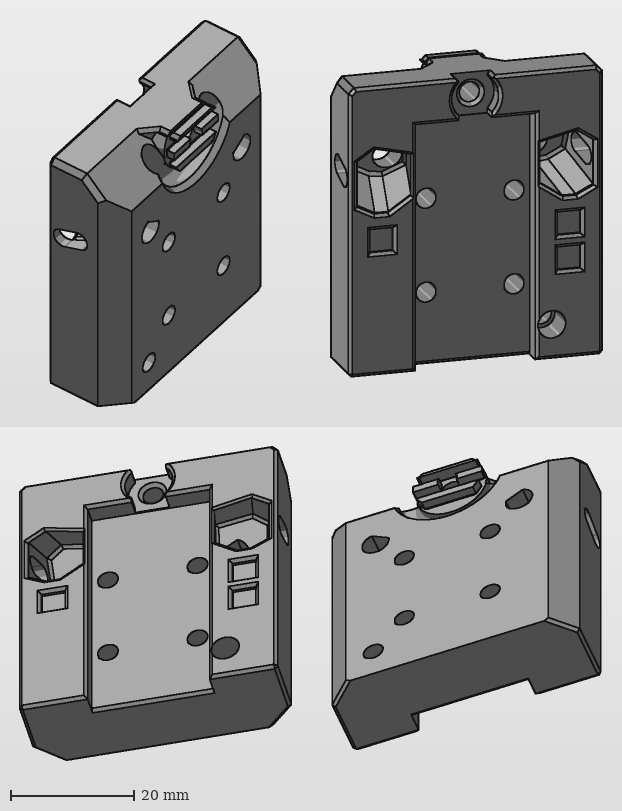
import cadquery as cq
import math

THICKNESS = 13.95
WIDTH = 43.2
HEIGHT = 49.25
HALF_WIDTH = WIDTH / 2
RIM_CHAMFER = 0.55
SIDE_TOP_CHAMFER = 1.0
BACK_SLOPE = 6.8
BACK_CORNER_CHAMFER = 3.95

SCREW_DIAMETER = 3.4
BORE_DIAMETER = 4.7

RAIL_HALF_WIDTH = 10.2
RAIL_TOP = 42.0
RAIL_DEPTH = 3.35
CARRIAGE_HOLE_Y = 7.5
CARRIAGE_HOLES_Z = (12.3, 28.3)

SCREW_Z = 45.7
HEAD_POCKET_RADIUS = 4.0
HEAD_POCKET_DEPTH = 3.05
HEAD_SLOT_WIDTH = 5.7

BOSS_RADIUS = 6.0
BOSS_END_X = 11.9
BOSS_TOP_CHAMFER = 0.65
BOSS_TOP_HALF_WIDTH = 4.3
WEDGE_START_X = 4.92
WEDGE_HALF_WIDTH = 10.2
CHANNEL_X = 11.2
CHANNEL_TUBE_RADIUS = 1.95
CHANNEL_RADIUS = BOSS_RADIUS + CHANNEL_TUBE_RADIUS
MOUTH_X = 12.75
MOUTH_RADIUS = 9.1
MOUTH_OUTER_RADIUS = 9.75

SUPPORT_CENTRE_Z = 45.85
SUPPORT_WIDTH = 1.5
SUPPORT_PITCH = 3.45
SUPPORT_TIP_CHAMFER = 0.6

POCKET_MOUTH = (
    (11.05, 37.0), (17.3, 38.4), (20.15, 36.55), (20.15, 28.9), (17.2, 27.45), (14.85, 27.45), (11.05, 30.0),
)
POCKET_LEAN = cq.Vector(21.3, -4.2, 7.6)
POCKET_DEPTH = 10.65
SIDE_SLOT_ENDS = ((2.75, 33.5), (6.15, 34.55))
SIDE_SLOT_INNER_Y = 17.75
OPENING_Y = 12.5
OPENING_Z = 34.55
OPENING_START_X = 6.9
OPENING_FLAT_TILT = 32.0
OPENING_FLAT_OFFSET = 1.6

SQUARE_SIDE = 3.95
SQUARE_DEPTH = 1.0
SQUARE_CENTRES = ((15.95, 22.85), (-15.95, 22.85), (-15.95, 16.9))
LOWER_SCREW_Y = -12.9
LOWER_SCREW_Z = 5.9
LOWER_BORE_DEPTH = 5.9


def yz_plane(x):
    """Sketch plane at depth x, with sketch axes Y and Z and +X as its normal."""
    return cq.Workplane("YZ", origin=(x, 0, 0))


def x_cylinder(diameter, y, z, start, end):
    return yz_plane(start).center(y, z).circle(diameter / 2).extrude(end - start)


def flared_recess(outline, depth):
    """Recess from the -X face for a (y, z) outline, with a chamfered mouth."""
    body = outline(yz_plane(0)).extrude(depth)
    flare = outline(yz_plane(0)).offset2D(RIM_CHAMFER, "intersection").extrude(RIM_CHAMFER, taper=45)
    return body.union(flare)


def plate():
    """Plate with its back slope and edge chamfers."""
    profile = [
        (0, 0),
        (THICKNESS, 0),
        (THICKNESS, HEIGHT - BACK_SLOPE),
        (THICKNESS - BACK_SLOPE, HEIGHT),
        (0, HEIGHT),
    ]
    body = cq.Workplane("XZ").polyline(profile).close().extrude(HALF_WIDTH, both=True)
    top_edges = cq.selectors.BoxSelector(
        (-0.5, -WIDTH, HEIGHT - BACK_SLOPE / 2 - 0.5), (THICKNESS, WIDTH, HEIGHT + 0.5)
    )
    body = body.faces("<Y or >Y").edges(top_edges).edges("not |Z").chamfer(SIDE_TOP_CHAMFER)
    for side in (-1, 1):
        corner = [
            (THICKNESS - BACK_CORNER_CHAMFER, side * HALF_WIDTH),
            (THICKNESS, side * HALF_WIDTH),
            (THICKNESS, side * (HALF_WIDTH - BACK_CORNER_CHAMFER)),
        ]
        body = body.cut(cq.Workplane("XY").polyline(corner).close().extrude(HEIGHT))
    return body.faces("<X or <Z").edges("not >X").chamfer(RIM_CHAMFER)


def above_boss():
    """Space over the boss: the level of the plate's top, with both its edges chamfered."""
    low_half_width = BOSS_TOP_HALF_WIDTH + BOSS_TOP_CHAMFER
    shoulder_z = HEIGHT - BOSS_TOP_CHAMFER
    outline = [
        (-WIDTH, shoulder_z),
        (-low_half_width, shoulder_z),
        (-BOSS_TOP_HALF_WIDTH, HEIGHT),
        (BOSS_TOP_HALF_WIDTH, HEIGHT),
        (low_half_width, shoulder_z),
        (WIDTH, shoulder_z),
        (WIDTH, 2 * HEIGHT),
        (-WIDTH, 2 * HEIGHT),
    ]
    return yz_plane(0).polyline(outline).close().extrude(THICKNESS)


def boss():
    """Round boss on the back slope, led in by a wedge and flattened at the plate's top."""
    wedge_outline = [
        (WEDGE_START_X, -WEDGE_HALF_WIDTH),
        (WEDGE_START_X + WEDGE_HALF_WIDTH, 0),
        (WEDGE_START_X, WEDGE_HALF_WIDTH),
    ]
    wedge_base = cq.Workplane("XY", origin=(0, 0, HEIGHT - BACK_SLOPE)).polyline(wedge_outline).close()
    wedge = wedge_base.extrude(BACK_SLOPE).faces(">Z").edges("not |Y").chamfer(BOSS_TOP_CHAMFER)
    post = x_cylinder(2 * BOSS_RADIUS, 0, SCREW_Z, WEDGE_START_X, THICKNESS).cut(above_boss())
    beyond = yz_plane(BOSS_END_X).rect(4 * WIDTH, 4 * HEIGHT).extrude(THICKNESS)
    return post.union(wedge).cut(beyond)


def ring_channel():
    """Round channel circling the boss, open to the back through a flared mouth."""
    tube = cq.Workplane("XY").add(
        cq.Solid.makeTorus(
            CHANNEL_RADIUS, CHANNEL_TUBE_RADIUS, cq.Vector(CHANNEL_X, 0, SCREW_Z), cq.Vector(1, 0, 0)
        )
    )
    chord = math.sqrt(CHANNEL_TUBE_RADIUS**2 - (MOUTH_X - CHANNEL_X) ** 2)
    inner = x_cylinder(2 * (CHANNEL_RADIUS - chord), 0, SCREW_Z, BOSS_END_X, THICKNESS)
    mouth = cq.Workplane("XY").add(
        cq.Solid.makeCone(
            MOUTH_RADIUS,
            MOUTH_OUTER_RADIUS,
            THICKNESS - MOUTH_X,
            cq.Vector(MOUTH_X, 0, SCREW_Z),
            cq.Vector(1, 0, 0),
        )
    )
    return tube.union(inner).union(mouth)


def rail_recess():
    height = RAIL_TOP + 2 * RIM_CHAMFER
    recess = flared_recess(
        lambda sketch: sketch.center(0, RAIL_TOP - height / 2).rect(2 * RAIL_HALF_WIDTH, height), RAIL_DEPTH
    )
    floor_bevel = [(RAIL_DEPTH, 0), (RAIL_DEPTH + RIM_CHAMFER, 0), (RAIL_DEPTH, RIM_CHAMFER)]
    bevel = cq.Workplane("XZ").polyline(floor_bevel).close().extrude(RAIL_HALF_WIDTH, both=True)
    return recess.union(bevel)


def carriage_holes():
    holes = cq.Workplane("XY")
    for z in CARRIAGE_HOLES_Z:
        for y in (-CARRIAGE_HOLE_Y, CARRIAGE_HOLE_Y):
            holes = holes.add(x_cylinder(SCREW_DIAMETER, y, z, 0, THICKNESS))
    return holes.combine()


def top_screw_pocket():
    """Head pocket, the slot across it and the countersunk screw hole."""
    pocket = x_cylinder(2 * HEAD_POCKET_RADIUS, 0, SCREW_Z, 0, HEAD_POCKET_DEPTH)
    rim = yz_plane(0).center(0, SCREW_Z).circle(HEAD_POCKET_RADIUS + RIM_CHAMFER)
    pocket = pocket.union(rim.extrude(RIM_CHAMFER, taper=45))
    slot_height = HEIGHT - RAIL_TOP
    slot = yz_plane(0).center(0, HEIGHT - slot_height / 2).rect(HEAD_SLOT_WIDTH, slot_height)
    slot = slot.extrude(HEAD_POCKET_DEPTH)
    mouth_outline = [
        (-HEAD_SLOT_WIDTH / 2 - RIM_CHAMFER, HEIGHT),
        (-HEAD_SLOT_WIDTH / 2, HEIGHT - RIM_CHAMFER),
        (HEAD_SLOT_WIDTH / 2, HEIGHT - RIM_CHAMFER),
        (HEAD_SLOT_WIDTH / 2 + RIM_CHAMFER, HEIGHT),
    ]
    slot_mouth = yz_plane(0).polyline(mouth_outline).close().extrude(HEAD_POCKET_DEPTH)
    hole = x_cylinder(SCREW_DIAMETER, 0, SCREW_Z, 0, THICKNESS)
    sink_depth = (BORE_DIAMETER - SCREW_DIAMETER) / 2
    sink = yz_plane(HEAD_POCKET_DEPTH).center(0, SCREW_Z).circle(BORE_DIAMETER / 2)
    sink = sink.extrude(sink_depth, taper=45)
    return pocket.union(slot).union(slot_mouth).union(hole).union(sink)


def lower_screw_hole():
    hole = x_cylinder(SCREW_DIAMETER, LOWER_SCREW_Y, LOWER_SCREW_Z, 0, THICKNESS)
    return hole.union(x_cylinder(BORE_DIAMETER, LOWER_SCREW_Y, LOWER_SCREW_Z, 0, LOWER_BORE_DEPTH))


def square_recess(y, z):
    return flared_recess(lambda sketch: sketch.center(y, z).rect(SQUARE_SIDE, SQUARE_SIDE), SQUARE_DEPTH)


def leaning_pocket(side):
    """Leaning pocket on one side (+1 or -1), with a floor square to its lean."""
    lean = cq.Vector(POCKET_LEAN.x, side * POCKET_LEAN.y, POCKET_LEAN.z).normalized()
    mouth = [(side * distance, z) for distance, z in POCKET_MOUTH]
    wire = yz_plane(0).polyline(mouth).close().val()
    shaft = cq.Workplane("XY").add(cq.Solid.extrudeLinear(wire, [], lean * THICKNESS))
    lowest = cq.Vector(0, *mouth[-2])
    floor_plane = cq.Plane(origin=(lowest + lean * POCKET_DEPTH).toTuple(), normal=lean.toTuple())
    beyond = cq.Workplane(floor_plane).rect(2 * HEIGHT, 2 * HEIGHT).extrude(HEIGHT)
    shaft = shaft.cut(beyond).faces(cq.selectors.DirectionMinMaxSelector(lean)).edges().chamfer(RIM_CHAMFER)
    flare = yz_plane(0).polyline(mouth).close().offset2D(RIM_CHAMFER, "intersection")
    return shaft.union(flare.extrude(RIM_CHAMFER, taper=45))


def side_slot(side):
    """Tilted round-ended slot from the side face into the leaning pocket."""
    (x1, z1), (x2, z2) = SIDE_SLOT_ENDS
    length = math.hypot(x2 - x1, z2 - z1) + SCREW_DIAMETER
    tilt = math.degrees(math.atan2(z2 - z1, x2 - x1))
    sketch = cq.Workplane("XZ", origin=(0, side * SIDE_SLOT_INNER_Y, 0))
    sketch = sketch.center((x1 + x2) / 2, (z1 + z2) / 2).slot2D(length, SCREW_DIAMETER, tilt)
    return sketch.extrude(-side * (HALF_WIDTH - SIDE_SLOT_INNER_Y))


def back_opening(side):
    """Round opening from the pocket floor to the back, with one flat facing up and inward."""
    opening = x_cylinder(BORE_DIAMETER, 0, 0, OPENING_START_X, THICKNESS)
    beyond_flat = (
        yz_plane(OPENING_START_X)
        .center(0, OPENING_FLAT_OFFSET + BORE_DIAMETER / 2)
        .rect(2 * BORE_DIAMETER, BORE_DIAMETER)
        .extrude(THICKNESS)
    )
    opening = opening.cut(beyond_flat).rotate((0, 0, 0), (1, 0, 0), side * OPENING_FLAT_TILT)
    return opening.translate((0, side * OPENING_Y, OPENING_Z))


def make_housing():
    body = plate().union(boss()).cut(ring_channel())
    body = body.cut(rail_recess()).cut(carriage_holes()).cut(top_screw_pocket()).cut(lower_screw_hole())
    for y, z in SQUARE_CENTRES:
        body = body.cut(square_recess(y, z))
    for side in (-1, 1):
        body = body.cut(leaning_pocket(side)).cut(side_slot(side)).cut(back_opening(side))
    return body


def support_row(row):
    """Bars along Y in one row, narrowed toward the boss end; the screw hole parts the middle row."""
    length = THICKNESS - BOSS_END_X
    centre_z = SUPPORT_CENTRE_Z + row * SUPPORT_PITCH
    bottom = centre_z - SUPPORT_WIDTH / 2
    top = min(centre_z + SUPPORT_WIDTH / 2, HEIGHT)
    bar = yz_plane(BOSS_END_X).center(0, (bottom + top) / 2).rect(WIDTH, top - bottom).extrude(length)
    bar = bar.faces("<X").edges(">Z").chamfer(SUPPORT_TIP_CHAMFER)
    if top < HEIGHT:
        bar = bar.faces("<X").edges("<Z").chamfer(SUPPORT_TIP_CHAMFER)
    ring = x_cylinder(2 * BOSS_RADIUS, 0, SCREW_Z, BOSS_END_X, THICKNESS)
    ring = ring.faces("<X").chamfer(SUPPORT_TIP_CHAMFER)
    hole = x_cylinder(SCREW_DIAMETER, 0, SCREW_Z, 0, THICKNESS)
    return bar.intersect(ring).cut(hole).cut(above_boss()).solids().vals()


housing = make_housing()
supports = []
for row in (-1, 0, 1):
    supports += support_row(row)
result = cq.Compound.makeCompound([housing.val(), *supports])